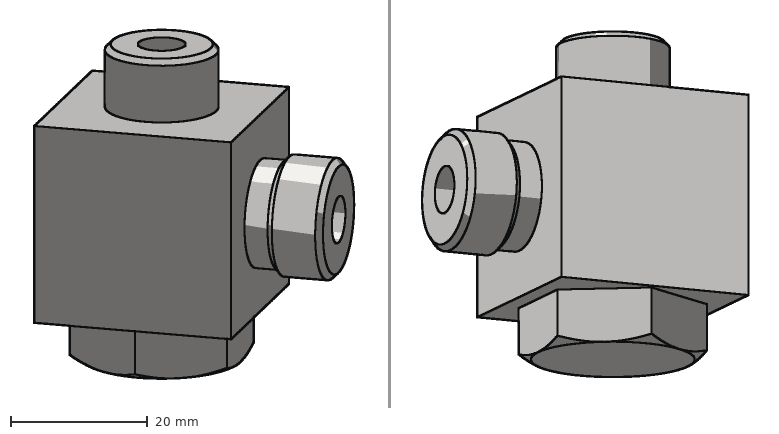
import cadquery as cq
import math

BODY_SIDE = 30.0
HEX_HEIGHT = 8.0
HEX_ACROSS_FLATS = 24.0
HEX_CHAMFER_ANGLE = 30

TOTAL_HEIGHT = 47.5
SPIGOT_DIAMETER = 16.65
SPIGOT_CHAMFER = 0.85

PORT_LENGTH = 11.95
NECK_LENGTH = 3.5
NECK_DIAMETER = 16.15
COLLAR_DIAMETER = 18.0

BORE_DIAMETER = 7.0

body_top = HEX_HEIGHT + BODY_SIDE
port_height = HEX_HEIGHT + BODY_SIDE / 2
port_start = BODY_SIDE / 2
port_end = port_start + PORT_LENGTH


def make_hexagon():
    """Hexagon with corners on the Y axis and conically trimmed lower corners."""
    across_corners = HEX_ACROSS_FLATS / math.cos(math.radians(30))
    hexagon = (
        cq.Workplane("XY")
        .polygon(6, across_corners)
        .extrude(HEX_HEIGHT)
        .rotate((0, 0, 0), (0, 0, 1), 90)
    )
    slope = math.tan(math.radians(HEX_CHAMFER_ANGLE))
    end_radius = HEX_ACROSS_FLATS / 2
    cone_radius = end_radius + HEX_HEIGHT / slope
    cone = (
        cq.Workplane("XZ")
        .polyline([(0, 0), (end_radius, 0), (cone_radius, HEX_HEIGHT), (0, HEX_HEIGHT)])
        .close()
        .revolve(360, (0, 0), (0, 1))
    )
    return hexagon.intersect(cone)


def make_body():
    return cq.Workplane("XY", origin=(0, 0, port_height)).box(BODY_SIDE, BODY_SIDE, BODY_SIDE)


def make_spigot():
    return (
        cq.Workplane("XY", origin=(0, 0, body_top))
        .circle(SPIGOT_DIAMETER / 2)
        .extrude(TOTAL_HEIGHT - body_top)
        .faces(">Z")
        .chamfer(SPIGOT_CHAMFER)
    )


def make_port():
    collar_chamfer = (COLLAR_DIAMETER - NECK_DIAMETER) / 2
    neck = (
        cq.Workplane("YZ", origin=(port_start, 0, port_height))
        .circle(NECK_DIAMETER / 2)
        .extrude(NECK_LENGTH)
    )
    collar = (
        cq.Workplane("YZ", origin=(port_start + NECK_LENGTH, 0, port_height))
        .circle(COLLAR_DIAMETER / 2)
        .extrude(PORT_LENGTH - NECK_LENGTH)
        .faces("<X or >X")
        .chamfer(collar_chamfer)
    )
    return neck.union(collar)


def make_passage():
    """Two equal bores meeting at a spherical bend."""
    radius = BORE_DIAMETER / 2
    upper_bore = (
        cq.Workplane("XY", origin=(0, 0, port_height))
        .circle(radius)
        .extrude(TOTAL_HEIGHT - port_height)
    )
    side_bore = cq.Workplane("YZ", origin=(0, 0, port_height)).circle(radius).extrude(port_end)
    bend = cq.Workplane("XY", origin=(0, 0, port_height)).sphere(radius)
    return upper_bore.union(side_bore).union(bend)


result = (
    make_body()
    .union(make_hexagon())
    .union(make_spigot())
    .union(make_port())
    .cut(make_passage())
)